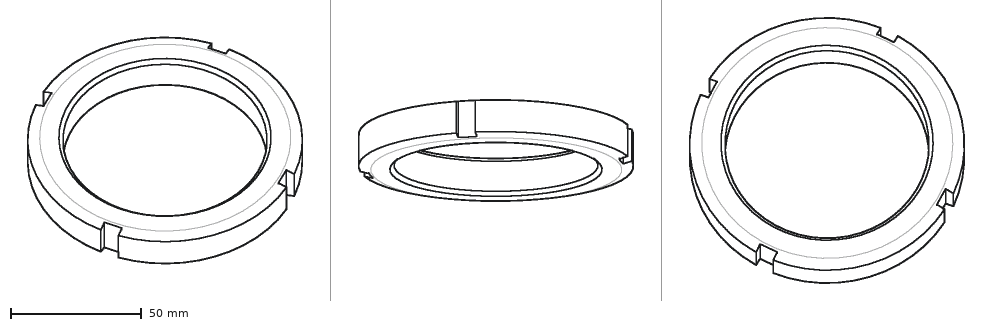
import cadquery as cq
import math

span = 104.8
thickness = 15.0

slot_count = 4
slot_width = 7.3
slot_floor_radius = 49.0

outer_radius = math.hypot(span / 2, slot_width / 2)

face_radius = 48.0
bevel_angle = 15.0
bevel_height = (outer_radius - face_radius) * math.tan(math.radians(bevel_angle))

bore_radius = 39.0
bore_chamfer = 1.6


def make_ring():
    """Ring with bevelled outer edges and a chamfered bore, standing on Z = 0."""
    profile = [
        (bore_radius, bore_chamfer),
        (bore_radius + bore_chamfer, 0),
        (face_radius, 0),
        (outer_radius, bevel_height),
        (outer_radius, thickness - bevel_height),
        (face_radius, thickness),
        (bore_radius + bore_chamfer, thickness),
        (bore_radius, thickness - bore_chamfer),
    ]
    return cq.Workplane("XZ").polyline(profile).close().revolve(360, (0, 0, 0), (0, 1, 0))


def make_slots():
    """Cutters for the wrench slots, evenly spaced starting on the X axis."""
    cutter_length = outer_radius
    return (
        cq.Workplane("XY")
        .polarArray(slot_floor_radius + cutter_length / 2, 0, 360, slot_count)
        .rect(cutter_length, slot_width)
        .extrude(thickness)
    )


result = make_ring().cut(make_slots())